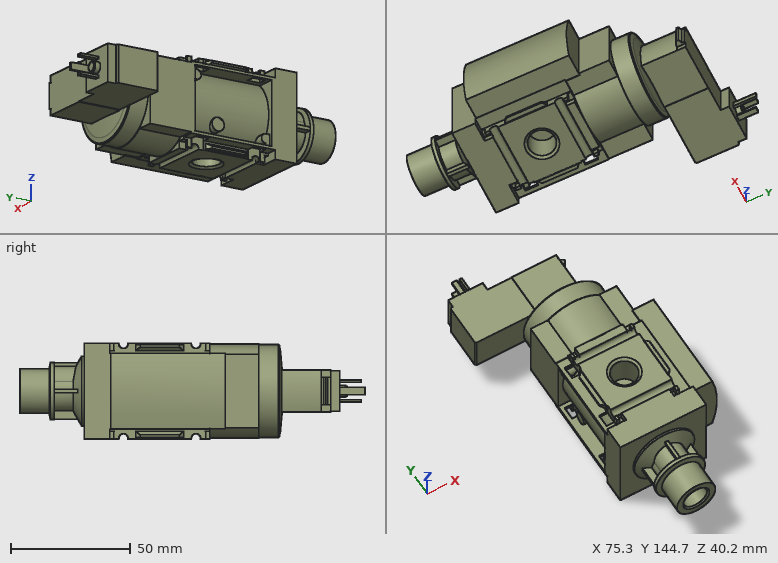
import cadquery as cq


body_half_width = 21.0
body_half_height = 20.1
body_front = 26.9
flange_front = 37.6
flange_back = 79.6
flange_half_height = 15.9
body_mid = (flange_front + flange_back) / 2

pad_half_width = 15.2
groove_diameter = 3.8
groove_depth = 2.2
groove_offset = 15.2
corner_inner_x = 11.7
corner_floor = 17.0
corner_length = 3.9
post_width = 1.3
post_length = 2.2
nub_reach = 2.0
nub_half_length = 10.0
nub_bevel = 1.7
nub_top = 19.4
nub_lip_bottom = 18.4
nub_root_bottom = 17.0
port_diameter = 12.2
port_mouth_diameter = 14.8
port_chamfer_depth = 0.9
port_depth = 14.5

slot_outer_x = -19.0
slot_inner_x = -14.8
slot_near = 11.0
slot_far = 17.1

window_half_length = 19.1
window_half_height = 14.6
barrel_radius = 18.7
window_floor_x = -8.7

lug_end_x = -19.4
lug_diameter = 4.3
lug_offset = 17.2
lug_z = 11.1
lug_rib_start = 17.2
stud_end_x = -18.1
stud_diameter = 6.1
stud_y = 64.4
stud_z = -8.5

collar_diameter = 29.4
collar_front = 25.9
core_radius = 8.4
core_front = 22.3
upper_core_radius = 7.4
upper_core_z = 3.0
ring_radius = 12.0
ring_back = 14.5
ring_front = 12.7
ring_bevel_radius = 9.7
ring_bevel_front = 12.3
tube_radius = 9.4
fin_thickness = 1.6
fin_reach = 11.9
fin_back = 25.3
bore_diameter = 11.5
bore_chamfer = 0.7
bore_depth = body_front

plate_back = 100.1
plate_half_height = 15.3
plate_radius = 19.8
cap_radius = 19.5
cap_back = 108.8
cap_edge = 0.5
dome_radius = 16.8
dome_start = 109.2
dome_top = 110.3
cover_front = 38.0
cover_back = 86.1
cover_half_height = 15.8
cover_edge_x = 30.7
cover_crown_x = 33.0

coil_front = 109.7
coil_back = 130.2
coil_joint_x = -12.3
coil_edge_x = 9.5
coil_crown_x = 10.9
coil_half_height = 8.8
bow_back = 126.3
latch_half_width = 5.8
latch_root_x = 8.7
latch_step_x = 10.5
latch_step_y = 129.1
latch_tip_x = 12.3
latch_tip_front = 127.3
latch_tip_back = 128.2
plug_end_x = -42.3
plug_half_height = 8.5
plug_chamfer = 0.6
socket_left = -41.0
socket_right = -24.0
socket_back = 134.1
gasket_x = -32.5
gasket_diameter = 5.0
gasket_back = 136.6
gasket_lip_diameter = 4.2
gasket_lip_back = 137.2
contact_width = 2.5
contact_thickness = 1.0
contact_spacing = 8.2
contact_tip = 143.1
ground_x = -28.5
ground_thickness = 1.2
ground_width = 3.2
ground_tip = 144.7

overlap = 0.7


def block(x0, x1, y0, y1, z0, z1):
    """Box between two opposite corners."""
    return cq.Workplane("XY").box(x1 - x0, y1 - y0, z1 - z0, centered=False).translate((x0, y0, z0))


def y_cylinder(radius, y0, y1, x=0.0, z=0.0):
    """Cylinder along Y from y0 to y1."""
    return cq.Workplane("XZ", origin=(x, y0, z)).circle(radius).extrude(y0 - y1)


def x_cylinder(diameter, x0, x1, y, z):
    """Cylinder along X from x0 to x1."""
    return cq.Workplane("YZ", origin=(x0, y, z)).circle(diameter / 2).extrude(x1 - x0)


def bowed_block(x0, edge_x, crown_x, y0, y1, half_height):
    """Block whose +X face is an arc bulging from edge_x out to crown_x."""
    return (
        cq.Workplane("XZ", origin=(0, y0, 0))
        .moveTo(x0, -half_height)
        .lineTo(edge_x, -half_height)
        .threePointArc((crown_x, 0), (edge_x, half_height))
        .lineTo(x0, half_height)
        .close()
        .extrude(y0 - y1)
    )


def both_faces(top_shape):
    """The shape on the top face together with its mirror image on the bottom face."""
    return top_shape.union(top_shape.mirror("XY"))


def make_nub(side):
    """Retaining lip on the side wall of the top pad, bevelled at its ends and underneath."""
    wall = side * (pad_half_width - overlap)
    root = side * pad_half_width
    tip = side * (pad_half_width + nub_reach)
    tip_half = nub_half_length - nub_bevel
    plan = (
        cq.Workplane("XY", origin=(0, body_mid, nub_root_bottom))
        .polyline([
            (wall, -nub_half_length), (root, -nub_half_length), (tip, -tip_half),
            (tip, tip_half), (root, nub_half_length), (wall, nub_half_length),
        ])
        .close()
        .extrude(nub_top - nub_root_bottom)
    )
    section = (
        cq.Workplane("XZ", origin=(0, body_mid, 0))
        .polyline([
            (wall, nub_top), (tip, nub_top), (tip, nub_lip_bottom),
            (root, nub_root_bottom), (wall, nub_root_bottom),
        ])
        .close()
        .extrude(nub_half_length, both=True)
    )
    return plan.intersect(section)


def pad_corner_recess(side, end):
    """Notch in one corner of the top pad, leaving a small post beside the groove."""
    outer_y = flange_back if end > 0 else flange_front
    inner_y = outer_y - end * corner_length
    post_y = inner_y + end * post_length
    x_limits = sorted((side * corner_inner_x, side * pad_half_width))
    post_x = sorted((side * (pad_half_width - post_width), side * pad_half_width))
    recess = block(*x_limits, *sorted((inner_y, outer_y)), corner_floor, body_half_height)
    post = block(*post_x, *sorted((inner_y, post_y)), corner_floor, body_half_height)
    return recess.cut(post)


def pad_groove(end):
    """Round-bottomed groove across the top pad."""
    radius = groove_diameter / 2
    y = body_mid + end * groove_offset
    z = body_half_height - groove_depth + radius
    channel = x_cylinder(groove_diameter, -pad_half_width, pad_half_width, y, z)
    mouth = block(-pad_half_width, pad_half_width, y - radius, y + radius, z, body_half_height)
    return channel.union(mouth)


def flange_slot(end):
    """Slot through the top side flange into the window, notching the pad wall."""
    y_limits = sorted((body_mid + end * slot_near, body_mid + end * slot_far))
    return block(slot_outer_x, slot_inner_x, *y_limits, window_half_height, body_half_height)


def port():
    """Blind chamfered port in the top pad."""
    radius = port_diameter / 2
    bore = cq.Workplane("XY", origin=(0, body_mid, body_half_height)).circle(radius).extrude(-port_depth)
    countersink = cq.Solid.makeCone(
        radius, port_mouth_diameter / 2, port_chamfer_depth,
        pnt=cq.Vector(0, body_mid, body_half_height - port_chamfer_depth), dir=cq.Vector(0, 0, 1),
    )
    return bore.union(cq.Workplane(countersink))


def make_body():
    body = block(
        -body_half_width, body_half_width, body_front, flange_back, -body_half_height, body_half_height
    )
    for side in (-1, 1):
        x_limits = sorted((side * pad_half_width, side * body_half_width))
        step = block(*x_limits, flange_front, flange_back, flange_half_height, body_half_height)
        body = body.cut(both_faces(step))
        body = body.union(both_faces(make_nub(side)))
        for end in (-1, 1):
            body = body.cut(both_faces(pad_corner_recess(side, end)))
    for end in (-1, 1):
        body = body.cut(both_faces(pad_groove(end)))
        body = body.cut(both_faces(flange_slot(end)))
    return body.cut(both_faces(port()))


def window_space():
    """Open space of the window around the inner barrel."""
    y0 = body_mid - window_half_length
    y1 = body_mid + window_half_length
    opening = block(-body_half_width, window_floor_x, y0, y1, -window_half_height, window_half_height)
    return opening.cut(y_cylinder(barrel_radius, y0, y1))


def window_lug(end):
    """Round lug in a window corner with a rib to the nearby wall and ceiling."""
    y = body_mid + end * lug_offset
    z = end * lug_z
    wall_y = body_mid + end * (window_half_length + overlap)
    ceiling_z = end * (window_half_height + overlap)
    root_z = end * (lug_z - lug_diameter / 2)
    rib_y = sorted((body_mid + end * lug_rib_start, wall_y))
    lug = x_cylinder(lug_diameter, lug_end_x, window_floor_x, y, z)
    rib = block(lug_end_x, window_floor_x, *rib_y, *sorted((root_z, ceiling_z)))
    return lug.union(rib)


def make_nozzle():
    collar_radius = collar_diameter / 2
    profile = [
        (0, body_front + overlap), (collar_radius, body_front + overlap), (collar_radius, collar_front),
        (core_radius, core_front), (core_radius, ring_back), (ring_radius, ring_back),
        (ring_radius, ring_front), (ring_bevel_radius, ring_bevel_front),
        (tube_radius, ring_bevel_front), (tube_radius, 0), (0, 0),
    ]
    nozzle = cq.Workplane("XY").polyline(profile).close().revolve(360, (0, 0, 0), (0, 1, 0))
    nozzle = nozzle.union(y_cylinder(upper_core_radius, ring_back, body_front, z=upper_core_z))
    half = fin_thickness / 2
    nozzle = nozzle.union(block(-half, half, ring_back, fin_back, -fin_reach, fin_reach))
    return nozzle.union(block(-fin_reach, fin_reach, ring_back, fin_back, -half, half))


def nozzle_bore():
    radius = bore_diameter / 2
    mouth = radius + bore_chamfer
    profile = [(0, 0), (mouth, 0), (radius, bore_chamfer), (radius, bore_depth), (0, bore_depth)]
    return cq.Workplane("XY").polyline(profile).close().revolve(360, (0, 0, 0), (0, 1, 0))


def make_plate():
    plate = block(
        -body_half_width, body_half_width, flange_back, plate_back, -plate_half_height, plate_half_height
    )
    return plate.union(y_cylinder(plate_radius, flange_back, plate_back))


def make_cap():
    rise = dome_top - dome_start
    sphere_radius = (dome_radius**2 + rise**2) / (2 * rise)
    half_chord = dome_radius / 2
    mid_y = dome_top - sphere_radius + (sphere_radius**2 - half_chord**2) ** 0.5
    return (
        cq.Workplane("XY")
        .moveTo(0, plate_back - overlap)
        .lineTo(cap_radius, plate_back - overlap)
        .lineTo(cap_radius, cap_back - cap_edge)
        .lineTo(cap_radius - cap_edge, cap_back)
        .lineTo(dome_radius, dome_start)
        .threePointArc((half_chord, mid_y), (0, dome_top))
        .close()
        .revolve(360, (0, 0, 0), (0, 1, 0))
    )


def make_cover():
    start_x = body_half_width - overlap
    return bowed_block(start_x, cover_edge_x, cover_crown_x, cover_front, cover_back, cover_half_height)


def make_coil():
    coil = block(coil_joint_x, coil_edge_x, coil_front, coil_back, -coil_half_height, coil_half_height)
    bow = bowed_block(coil_joint_x, coil_edge_x, coil_crown_x, coil_front, bow_back, coil_half_height)
    latch = (
        cq.Workplane("XY", origin=(0, 0, -latch_half_width))
        .polyline([
            (latch_root_x, coil_back), (latch_step_x, coil_back), (latch_step_x, latch_step_y),
            (latch_tip_x, latch_tip_back), (latch_tip_x, latch_tip_front),
            (coil_crown_x, bow_back), (latch_root_x, bow_back),
        ])
        .close()
        .extrude(2 * latch_half_width)
    )
    return coil.union(bow).union(latch)


def make_plug():
    plug = (
        block(plug_end_x, coil_joint_x, coil_front, coil_back, -plug_half_height, plug_half_height)
        .edges("<X and |Z")
        .chamfer(plug_chamfer)
    )
    socket = block(
        socket_left, socket_right, coil_back - overlap, socket_back, -plug_half_height, plug_half_height
    )
    return plug.union(socket)


def make_contacts():
    root = socket_back - overlap
    contacts = y_cylinder(gasket_diameter / 2, root, gasket_back, x=gasket_x)
    contacts = contacts.union(y_cylinder(gasket_lip_diameter / 2, root, gasket_lip_back, x=gasket_x))
    for side in (-1, 1):
        z = side * contact_spacing / 2
        contacts = contacts.union(block(
            gasket_x - contact_width / 2, gasket_x + contact_width / 2, root, contact_tip,
            z - contact_thickness / 2, z + contact_thickness / 2,
        ))
    return contacts.union(block(
        ground_x - ground_thickness / 2, ground_x + ground_thickness / 2, root, ground_tip,
        -ground_width / 2, ground_width / 2,
    ))


result = make_body().cut(window_space())
result = result.union(window_lug(1)).union(window_lug(-1))
result = result.union(x_cylinder(stud_diameter, stud_end_x, window_floor_x, stud_y, stud_z))
result = result.union(make_nozzle()).cut(nozzle_bore())
for piece in (make_plate(), make_cap(), make_cover(), make_coil(), make_plug(), make_contacts()):
    result = result.union(piece)